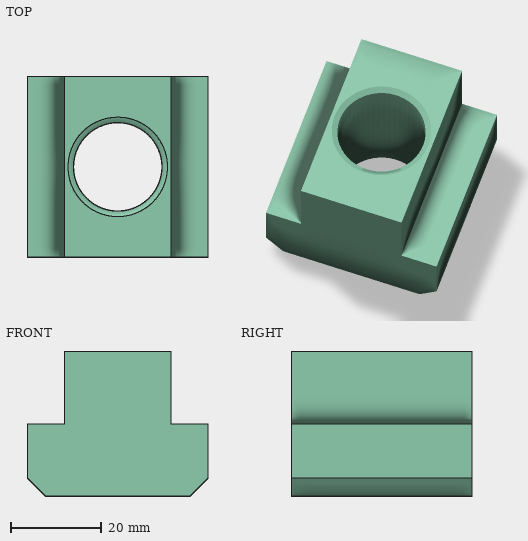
import cadquery as cq

LENGTH = 40.0
BASE_WIDTH = 40.0
BASE_HEIGHT = 16.0
NECK_WIDTH = 23.6
TOTAL_HEIGHT = 32.0
BASE_CHAMFER = 4.0

HOLE_DIAMETER = 19.5
COUNTERSINK_DIAMETER = 22.0
COUNTERSINK_ANGLE = 120.0


def make_body():
    """Base and neck blocks, centred on the Z axis, underside at Z = 0."""
    base = (
        cq.Workplane("XY")
        .box(BASE_WIDTH, LENGTH, BASE_HEIGHT, centered=(True, True, False))
        .edges("|Y and <Z")
        .chamfer(BASE_CHAMFER)
    )
    neck = cq.Workplane("XY").box(NECK_WIDTH, LENGTH, TOTAL_HEIGHT, centered=(True, True, False))
    return base.union(neck)


def drill_hole(body):
    """Drill the countersunk hole down through the whole height."""
    return (
        body.faces(">Z")
        .workplane(origin=(0, 0, TOTAL_HEIGHT))
        .cskHole(HOLE_DIAMETER, COUNTERSINK_DIAMETER, COUNTERSINK_ANGLE)
    )


result = drill_hole(make_body())